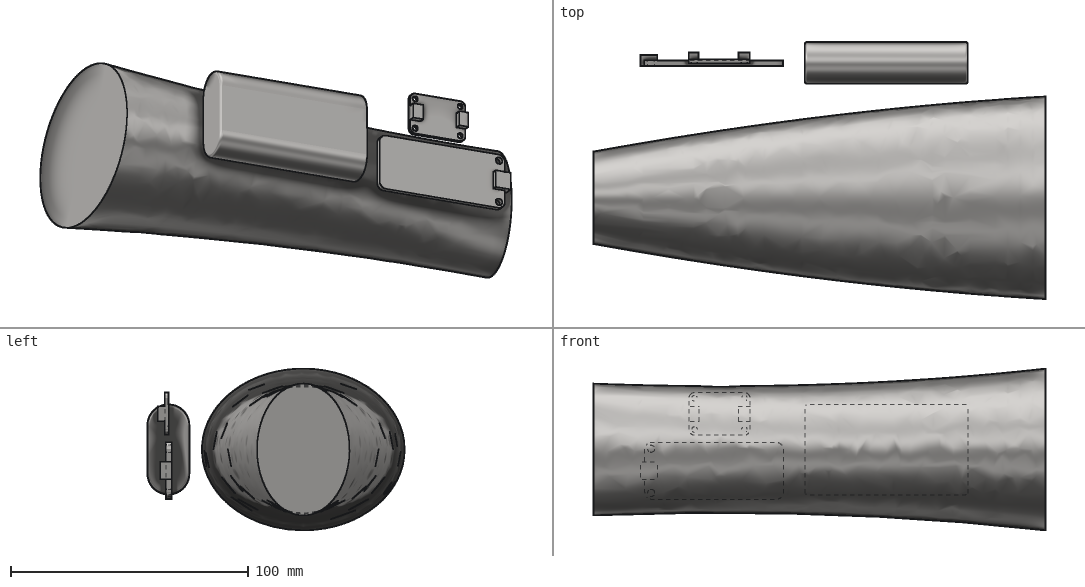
import cadquery as cq

BODY_LENGTH = 190.5
BODY_SECTIONS = [(39.0, 55.6), (59.6, 53.6), (75.2, 57.6), (85.5, 68.25)]
SEAM_ANGLE = -90

OVERALL_Y = 108.49
BODY_MAX_WIDTH = BODY_SECTIONS[-1][0]

BATTERY_LENGTH = 68.8
BATTERY_THICKNESS = 17.8
BATTERY_HEIGHT = 38.0
BATTERY_START_X = 89.0
BATTERY_MAX_Y = OVERALL_Y - BODY_MAX_WIDTH / 2
BATTERY_END_FILLET = 1.2

CHARGER_LENGTH = 58.4
CHARGER_HEIGHT = 24.0
CHARGER_THICKNESS = 2.4
CHARGER_CORNER_RADIUS = 3.0
CHARGER_MIN = (21.5, 55.5, -20.9)
CHARGER_HOLE_DIAMETER = 3.0
CHARGER_HOLE_INSET = 2.7
CHARGER_PORT_LENGTH = 7.1
CHARGER_PORT_HEIGHT = 7.5
CHARGER_PORT_OVERHANG = 1.7
CHARGER_PORT_RISE = 2.3

SENSOR_LENGTH = 25.8
SENSOR_HEIGHT = 18.0
SENSOR_THICKNESS = 1.7
SENSOR_CORNER_RADIUS = 2.5
SENSOR_MIN = (40.1, 56.7, 6.1)
SENSOR_HOLE_DIAMETER = 2.4
SENSOR_HOLE_INSET = 2.4
SENSOR_PLUG_LENGTHS = (4.2, 4.8)
SENSOR_PLUG_HEIGHT = 6.4
SENSOR_PLUG_BASE_Z = 11.9
SENSOR_PLUG_RISE = 2.9


def box_from(low_corner, size):
    """Box from its lowest corner and its X, Y, Z size."""
    return cq.Workplane("XY").box(*size, centered=False).translate(low_corner)


def rounded_plate(low_corner, length, height, thickness, corner_radius):
    """Plate standing in the XZ plane with its four corners rounded."""
    return box_from(low_corner, (length, thickness, height)).edges("|Y").fillet(corner_radius)


def hole_pins(low_corner, height, thickness, diameter, inset, offsets_x):
    """Cutters for an upper and a lower hole at each X offset from the plate's low corner."""
    x, y, z = low_corner
    centers = [(x + dx, z + dz) for dx in offsets_x for dz in (inset, height - inset)]
    plane = cq.Workplane("XZ", origin=(0, y, 0))
    return plane.pushPoints(centers).circle(diameter / 2).extrude(-thickness)


def body_section(x, width, height):
    """Elliptical outline across the X axis, centred on it."""
    outline = cq.Workplane("YZ", origin=(x, 0, 0))
    outline = outline.ellipseArc(width / 2, height / 2, SEAM_ANGLE, SEAM_ANGLE + 360, startAtCurrent=False)
    return outline.close().val()


def make_body():
    spacing = BODY_LENGTH / (len(BODY_SECTIONS) - 1)
    outlines = [
        body_section(index * spacing, width, height)
        for index, (width, height) in enumerate(BODY_SECTIONS)
    ]
    return cq.Workplane(cq.Solid.makeLoft(outlines))


def make_battery():
    center_y = BATTERY_MAX_Y - BATTERY_THICKNESS / 2
    bar = (
        cq.Workplane("YZ", origin=(BATTERY_START_X, center_y, 0))
        .slot2D(BATTERY_HEIGHT, BATTERY_THICKNESS, 90)
        .extrude(BATTERY_LENGTH)
    )
    return bar.faces("<X or >X").edges().fillet(BATTERY_END_FILLET)


def make_charger_board():
    x, y, z = CHARGER_MIN
    plate = rounded_plate(
        CHARGER_MIN, CHARGER_LENGTH, CHARGER_HEIGHT, CHARGER_THICKNESS, CHARGER_CORNER_RADIUS
    )
    holes = hole_pins(
        CHARGER_MIN, CHARGER_HEIGHT, CHARGER_THICKNESS, CHARGER_HOLE_DIAMETER,
        CHARGER_HOLE_INSET, [CHARGER_HOLE_INSET],
    )
    port = box_from(
        (x - CHARGER_PORT_OVERHANG, y, z + (CHARGER_HEIGHT - CHARGER_PORT_HEIGHT) / 2),
        (CHARGER_PORT_LENGTH, CHARGER_THICKNESS + CHARGER_PORT_RISE, CHARGER_PORT_HEIGHT),
    )
    return plate.cut(holes).union(port)


def make_sensor_board():
    x, y = SENSOR_MIN[:2]
    board = rounded_plate(
        SENSOR_MIN, SENSOR_LENGTH, SENSOR_HEIGHT, SENSOR_THICKNESS, SENSOR_CORNER_RADIUS
    )
    holes = hole_pins(
        SENSOR_MIN, SENSOR_HEIGHT, SENSOR_THICKNESS, SENSOR_HOLE_DIAMETER,
        SENSOR_HOLE_INSET, [SENSOR_HOLE_INSET, SENSOR_LENGTH - SENSOR_HOLE_INSET],
    )
    board = board.cut(holes)
    plug_starts = (x, x + SENSOR_LENGTH - SENSOR_PLUG_LENGTHS[-1])
    for start_x, length in zip(plug_starts, SENSOR_PLUG_LENGTHS):
        plug = box_from(
            (start_x, y + SENSOR_THICKNESS, SENSOR_PLUG_BASE_Z),
            (length, SENSOR_PLUG_RISE, SENSOR_PLUG_HEIGHT),
        )
        board = board.union(plug)
    return board


body = make_body()
battery = make_battery()
charger_board = make_charger_board()
sensor_board = make_sensor_board()

result = cq.Compound.makeCompound(
    [body.val(), battery.val(), charger_board.val(), sensor_board.val()]
)